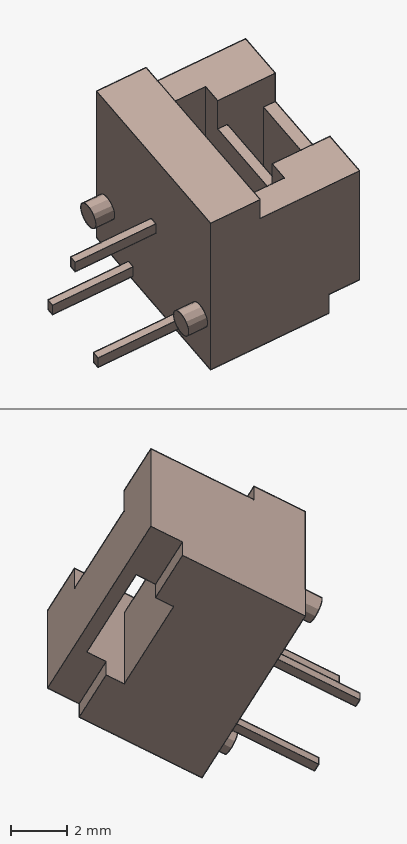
import cadquery as cq

width = 7.5
height = 7.8
total_depth = 9.7
pin_length = 3.4
body_depth = total_depth - pin_length
slab_depth = 2.1
step_height = 1.0
lower_step_depth = 1.29
rear_top = height - step_height

slot_width = 3.58
rear_bar_depth = 0.5
sill_depth = 0.41
ledge_drop = 1.5
ledge_top = rear_top - ledge_drop
pocket_width = 5.18
pocket_end = 3.86
pocket_drop = 2 * ledge_drop

peg_diameter = 1.0
peg_length = 0.8
peg_spacing = 6.1
peg_height = 2.3

pin_width = 0.31
pin_thickness = 0.5
pin_side_offset = 1.49
low_pin_height = 0.47
high_pin_height = 4.15


def block(x_size, y_range, z_range, x_center=0):
    """Box centred on x_center, spanning the given Y and Z ranges."""
    y_start, y_end = y_range
    z_start, z_end = z_range
    return cq.Workplane("XY").box(
        x_size, y_end - y_start, z_end - z_start, centered=(True, False, False)
    ).translate((x_center, y_start, z_start))


def stepped_body():
    lower_step_start = body_depth - lower_step_depth
    profile = [
        (0, 0),
        (lower_step_start, 0),
        (lower_step_start, step_height),
        (body_depth, step_height),
        (body_depth, rear_top),
        (slab_depth, rear_top),
        (slab_depth, height),
        (0, height),
    ]
    return cq.Workplane("YZ").polyline(profile).close().extrude(width / 2, both=True)


def cut_openings(body):
    slot = block(slot_width, (pocket_end, body_depth), (ledge_top, rear_top))
    window_range = (pocket_end + sill_depth, body_depth - rear_bar_depth)
    window = block(slot_width, window_range, (0, rear_top))
    pocket = block(pocket_width, (slab_depth, pocket_end), (rear_top - pocket_drop, rear_top))
    return body.cut(slot).cut(window).cut(pocket)


def pegs():
    centers = [(side * peg_spacing / 2, peg_height) for side in (-1, 1)]
    return cq.Workplane("XZ").pushPoints(centers).circle(peg_diameter / 2).extrude(peg_length)


def pins():
    centers = [
        (-pin_side_offset, low_pin_height),
        (0, high_pin_height),
        (pin_side_offset, low_pin_height),
    ]
    return cq.Workplane("XZ").pushPoints(centers).rect(pin_width, pin_thickness).extrude(pin_length)


result = cut_openings(stepped_body()).union(pegs()).union(pins())